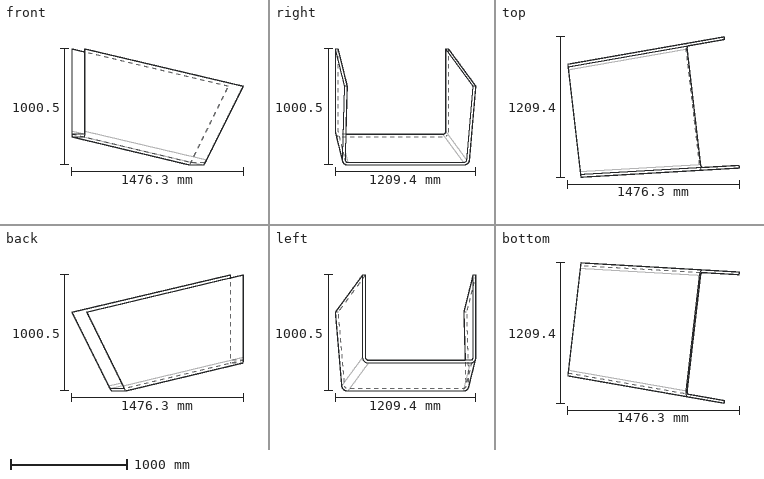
import cadquery as cq
import math

overall_x = 1476.27
overall_y = 1209.36
overall_z = 1000.51

sheet = 25.0
inner_bend_radius = 25.0
outer_bend_radius = inner_bend_radius + sheet

heading = 6.63
flare = 3.3
pitch = 13.25
end_lean = 2 * pitch

sin_heading = math.sin(math.radians(heading))
cos_heading = math.cos(math.radians(heading))
flare_slope = math.tan(math.radians(flare))
drop_slope = math.tan(math.radians(pitch))

along_x = cos_heading + flare_slope * sin_heading
along_y = sin_heading + flare_slope * cos_heading
top_length = (
    (overall_x * cos_heading - overall_y * sin_heading)
    / (along_x * cos_heading - along_y * sin_heading)
)
near_width = (overall_y - along_y * top_length) / cos_heading

end_lean_run = math.sin(math.radians(end_lean))
near_height = (overall_z - top_length * drop_slope) / (1 - end_lean_run * drop_slope)
floor_length = top_length - near_height * end_lean_run

margin = 200.0


def trough_block(wall_inset, floor_rise, bend_radius):
    """Flared, sloping block with vertical sides and rounded lower long edges."""
    start = -margin
    end = top_length + margin
    half_near = near_width / 2 - wall_inset

    def half_width(x):
        return half_near + x * flare_slope

    def floor_height(x):
        return floor_rise - x * drop_slope

    plan = (
        cq.Workplane("XY")
        .polyline([
            (start, -half_width(start)),
            (end, -half_width(end)),
            (end, half_width(end)),
            (start, half_width(start)),
        ])
        .close()
        .extrude(overall_z, both=True)
    )
    block_top = near_height + margin
    side = (
        cq.Workplane("XZ")
        .polyline([
            (start, floor_height(start)),
            (end, floor_height(end)),
            (end, block_top),
            (start, block_top),
        ])
        .close()
        .extrude(overall_y, both=True)
    )
    lower_long_edges = cq.selectors.BoxSelector(
        (0, -overall_y, floor_height(end)), (top_length, overall_y, floor_height(start))
    )
    return plan.intersect(side).edges(lower_long_edges).fillet(bend_radius)


def side_envelope():
    """Side outline: vertical near end, sloping top and floor, leaning far end."""
    return (
        cq.Workplane("XZ")
        .polyline([
            (0, 0),
            (floor_length, -floor_length * drop_slope),
            (top_length, near_height - top_length * drop_slope),
            (0, near_height),
        ])
        .close()
        .extrude(overall_y, both=True)
    )


sheet_across = sheet / math.cos(math.radians(flare))
sheet_upright = sheet / math.cos(math.radians(pitch))
outer = trough_block(0, 0, outer_bend_radius)
inner = trough_block(sheet_across, sheet_upright, inner_bend_radius)
trough = outer.cut(inner).intersect(side_envelope())

result = trough.rotate((0, 0, 0), (0, 0, 1), heading)